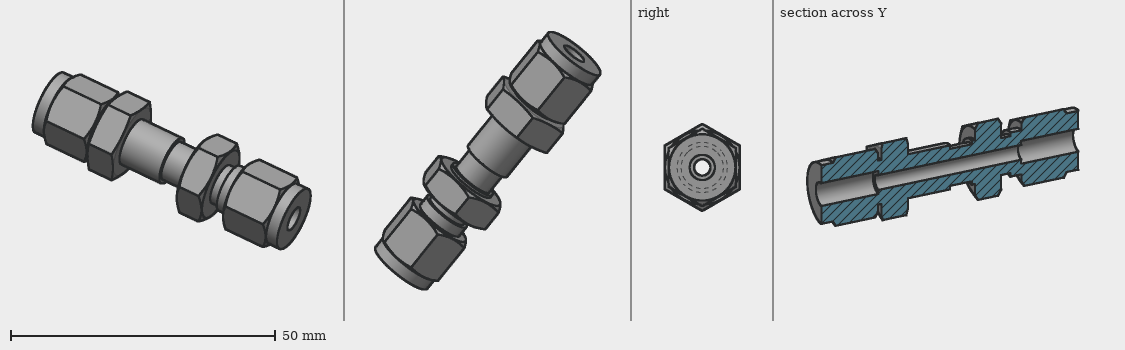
import cadquery as cq
import math


total_length = 53.6
collar_length = 2.4
tube_nut_length = 9.5
body_hex_start = 12.5
body_hex_length = 5.65
body_barrel_end = 26.85
washer_start = 31.4
lock_nut_start = 32.0
lock_nut_length = 5.6
end_barrel_start = 39.45

barrel_diameter = 9.5
neck_diameter = 8.0
tube_nut_width = 12.7
collar_diameter = 12.6
large_hex_width = 14.25
tube_diameter = 4.75
bore_diameter = 3.05

face_circle_ratio = 0.985
nut_chamfer_angle = 30.0
body_hex_chamfer_angle = 15.0
envelope_margin = 1.1

half_side_angle = 30.0

left_nut_end = collar_length + tube_nut_length
right_nut_end = total_length - collar_length
right_nut_start = right_nut_end - tube_nut_length
tube_socket_depth = left_nut_end


def cylinder(start, end, diameter):
    """Round bar along X from start to end."""
    return cq.Workplane("YZ", origin=(start, 0, 0)).circle(diameter / 2).extrude(end - start)


def chamfered_hexagon(start, length, width, chamfer_angle):
    """Hexagonal bar along X with flats facing +Y and -Y and conical chamfers on the corners."""
    corner_diameter = width / math.cos(math.radians(half_side_angle))
    hexagon = (
        cq.Workplane("YZ", origin=(start, 0, 0))
        .transformed(rotate=(0, 0, 90))
        .polygon(6, corner_diameter)
        .extrude(length)
    )
    face_radius = face_circle_ratio * width / 2
    outer_radius = corner_diameter * envelope_margin / 2
    chamfer_length = (outer_radius - face_radius) * math.tan(math.radians(chamfer_angle))
    end = start + length
    envelope = (
        cq.Workplane("XY")
        .moveTo(start, 0)
        .lineTo(start, face_radius)
        .lineTo(start + chamfer_length, outer_radius)
        .lineTo(end - chamfer_length, outer_radius)
        .lineTo(end, face_radius)
        .lineTo(end, 0)
        .close()
        .revolve(360, (0, 0, 0), (1, 0, 0))
    )
    return hexagon.intersect(envelope)


body = cylinder(0, total_length, neck_diameter)
body = body.union(cylinder(0, collar_length, collar_diameter))
body = body.union(cylinder(right_nut_end, total_length, collar_diameter))
body = body.union(cylinder(left_nut_end, body_barrel_end, barrel_diameter))
body = body.union(cylinder(washer_start, lock_nut_start, barrel_diameter))
body = body.union(cylinder(end_barrel_start, right_nut_start, barrel_diameter))

for nut_start in (collar_length, right_nut_start):
    body = body.union(chamfered_hexagon(nut_start, tube_nut_length, tube_nut_width, nut_chamfer_angle))

body = body.union(
    chamfered_hexagon(body_hex_start, body_hex_length, large_hex_width, body_hex_chamfer_angle)
)
body = body.union(chamfered_hexagon(lock_nut_start, lock_nut_length, large_hex_width, nut_chamfer_angle))

body = body.cut(cylinder(0, total_length, bore_diameter))
body = body.cut(cylinder(0, tube_socket_depth, tube_diameter))
body = body.cut(cylinder(total_length - tube_socket_depth, total_length, tube_diameter))

result = body